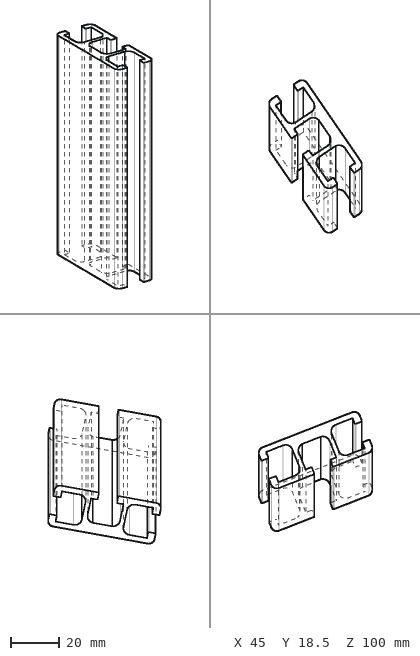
import cadquery as cq

width = 45.0
depth = 18.5
length = 100.0
corner_radius = 2.5

slot_opening = 8.2
slot_width = 13.7
slot_depth = 13.7
lip_thickness = 3.2
cavity_radius = 3.0
lip_edge_radius = 0.3

half_width = width / 2
half_depth = depth / 2


def make_slot():
    """T-slot with its mouth at Y = 0, running into -Y, along the full length."""
    cavity_depth = slot_depth - lip_thickness
    cavity = (
        cq.Workplane("XY")
        .center(0, -lip_thickness - cavity_depth / 2)
        .rect(slot_width, cavity_depth)
        .extrude(length)
        .edges("|Z and <Y")
        .fillet(cavity_radius)
    )
    mouth = (
        cq.Workplane("XY")
        .center(0, -slot_depth / 2)
        .rect(slot_opening, slot_depth)
        .extrude(length)
    )
    return cavity.union(mouth)


body = (
    cq.Workplane("XY")
    .rect(width, depth)
    .extrude(length)
    .edges("|Z")
    .fillet(corner_radius)
)

slot = make_slot()
for angle, mouth_distance in ((0, half_depth), (90, half_width), (-90, half_width)):
    placed_slot = slot.translate((0, mouth_distance, 0)).rotate((0, 0, 0), (0, 0, 1), angle)
    body = body.cut(placed_slot)

half_opening = slot_opening / 2
for sign in (-1, 1):
    for inset in (0, lip_thickness):
        lip_corners = [(sign * half_opening, half_depth - inset)]
        for side in (-1, 1):
            lip_corners.append((side * (half_width - inset), sign * half_opening))
        for x, y in lip_corners:
            lip_edge = cq.selectors.NearestToPointSelector((x, y, length / 2))
            body = body.edges("|Z").edges(lip_edge).fillet(lip_edge_radius)

result = body